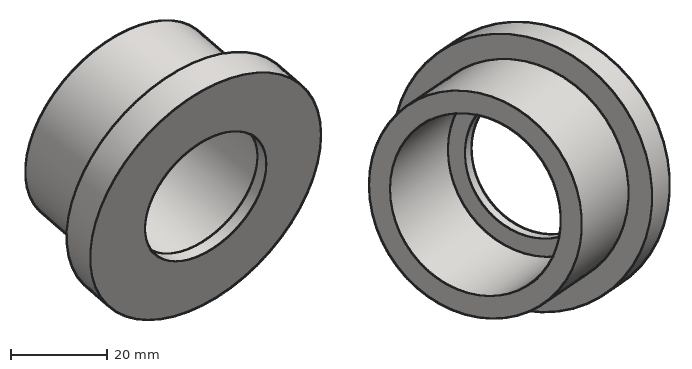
import cadquery as cq

total_length = 29.0
flange_thickness = 8.0
bore_depth = 26.0

flange_diameter = 61.0
sleeve_diameter = 49.95
bore_diameter = 40.0
through_hole_diameter = 32.0


def cylinder_along_x(diameter, start, length):
    """Solid cylinder on the X axis, running toward +X from the start position."""
    return cq.Workplane("YZ", origin=(start, 0, 0)).circle(diameter / 2).extrude(length)


sleeve = cylinder_along_x(sleeve_diameter, 0, total_length)
flange = cylinder_along_x(flange_diameter, total_length - flange_thickness, flange_thickness)

bore = cylinder_along_x(bore_diameter, 0, bore_depth)
through_hole = cylinder_along_x(through_hole_diameter, 0, total_length)

result = sleeve.union(flange).cut(bore).cut(through_hole)